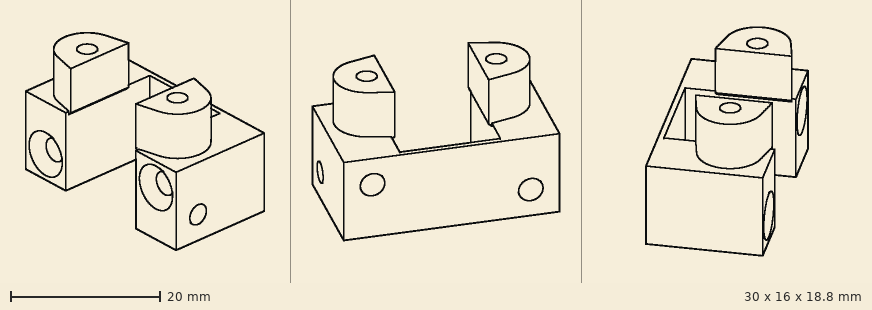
import cadquery as cq
import math

length = 30.0
depth = 16.0
block_height = 12.0
total_height = 18.8
block_width = 8.0
web_thickness = 0.8

post_radius = 4.5
post_x = 6.0
post_y = 5.7
post_flat_x = 8.5
post_half_width = 5.25
pilot_diameter = 2.8
pilot_depth = 8.0

screw_diameter = 3.4
head_diameter = 6.6
countersink_depth = (head_diameter - screw_diameter) / 2
low_hole_z = block_height / 3
high_hole_z = 2 * block_height / 3

side_hole_diameter = 3.0
side_hole_depth = 7.0
side_hole_y = 4.0
side_hole_z = low_hole_z


def make_body():
    """U-shaped body: two blocks joined by a thin web at the back."""
    body = cq.Workplane("XY").box(length, depth, block_height, centered=False)
    gap = cq.Workplane("XY").box(
        length - 2 * block_width, depth - web_thickness, block_height, centered=False
    )
    return body.cut(gap.translate((block_width, 0, 0)))


def make_left_post():
    """Post with a 45 degree support under the edge that overhangs the gap."""
    flat_offset = post_flat_x - post_x
    corner_distance = math.hypot(flat_offset, post_half_width)
    tangent_angle = math.atan2(post_half_width, flat_offset) + math.acos(post_radius / corner_distance)
    tangent_x = post_x + post_radius * math.cos(tangent_angle)
    tangent_y = post_radius * math.sin(tangent_angle)
    overhang = post_flat_x - block_width
    base_z = block_height - overhang
    post = (
        cq.Workplane("XY", origin=(0, 0, base_z))
        .moveTo(post_flat_x, post_y - post_half_width)
        .lineTo(post_flat_x, post_y + post_half_width)
        .lineTo(tangent_x, post_y + tangent_y)
        .threePointArc((post_x - post_radius, post_y), (tangent_x, post_y - tangent_y))
        .close()
        .extrude(total_height - base_z)
    )
    below_support = (
        cq.Workplane("XZ")
        .moveTo(block_width, base_z)
        .lineTo(post_flat_x, base_z)
        .lineTo(post_flat_x, block_height)
        .close()
        .extrude(-depth)
    )
    return post.cut(below_support)


def make_countersunk_hole(x, z):
    """Cutter for a screw hole along Y, countersunk at the front face."""
    shank = cq.Workplane("XZ", origin=(x, 0, z)).circle(screw_diameter / 2).extrude(-depth)
    head = cq.Solid.makeCone(
        head_diameter / 2,
        screw_diameter / 2,
        countersink_depth,
        pnt=cq.Vector(x, 0, z),
        dir=cq.Vector(0, 1, 0),
    )
    return shank.union(cq.Workplane(head))


def make_side_hole():
    """Cutter for the blind hole into the +X face of the right block."""
    return (
        cq.Workplane("YZ", origin=(length, side_hole_y, side_hole_z))
        .circle(side_hole_diameter / 2)
        .extrude(-side_hole_depth)
    )


def make_pilot(x):
    """Cutter for the blind hole down from the top of a post."""
    return (
        cq.Workplane("XY", origin=(x, post_y, total_height))
        .circle(pilot_diameter / 2)
        .extrude(-pilot_depth)
    )


left_x = block_width / 2
right_x = length - left_x

left_post = make_left_post()
right_post = left_post.mirror("YZ").translate((length, 0, 0))
result = make_body().union(left_post).union(right_post)

for pilot_x in (post_x, length - post_x):
    result = result.cut(make_pilot(pilot_x))

result = result.cut(make_countersunk_hole(left_x, low_hole_z))
result = result.cut(make_countersunk_hole(right_x, high_hole_z))

result = result.cut(make_side_hole())